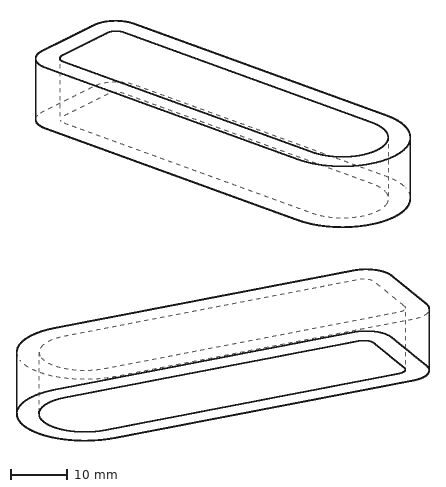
import cadquery as cq

length = 76.2
width = 24.2
height = 12.0
wall = 4.0
outer_corner_radius = 5.0
inner_corner_radius = 2.0


def rounded_prism(prism_length, prism_width, corner_radius):
    """Prism with a half-round +X end and two rounded corners at the -X end, centred on the origin."""
    end_radius = prism_width / 2
    left = -prism_length / 2
    right = prism_length / 2
    arc_start = right - end_radius
    return (
        cq.Workplane("XY")
        .moveTo(left, -end_radius)
        .lineTo(arc_start, -end_radius)
        .threePointArc((right, 0), (arc_start, end_radius))
        .lineTo(left, end_radius)
        .close()
        .extrude(height)
        .edges("|Z and <X")
        .fillet(corner_radius)
    )


outer_body = rounded_prism(length, width, outer_corner_radius)
opening = rounded_prism(length - 2 * wall, width - 2 * wall, inner_corner_radius)
result = outer_body.cut(opening)